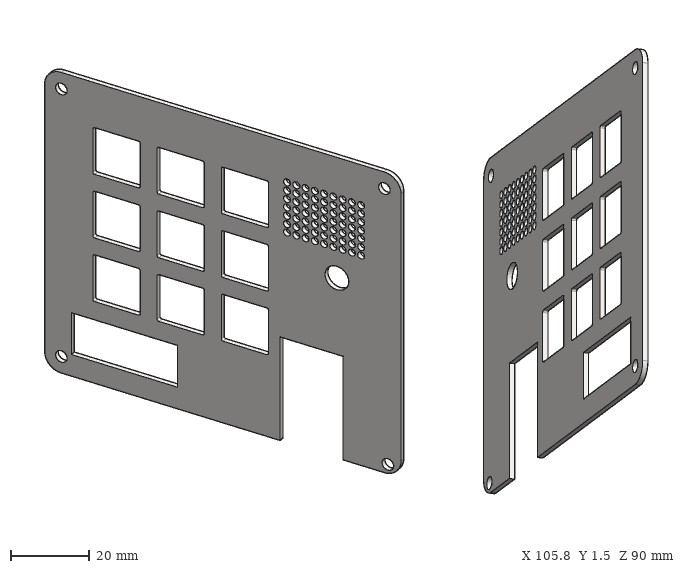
import cadquery as cq

plate_width = 105.8
plate_height = 90.0
plate_thickness = 1.5
corner_radius = 5.0

mount_hole_diameter = 3.4
offset_hole_x = 49.0
offset_hole_z = -42.2

key_count = 3
key_size = 14.0
key_pitch = 19.0
key_corner_radius = 0.5
keypad_center_x = -12.5
keypad_center_z = 5.5

grille_columns = 9
grille_rows = 7
grille_hole_diameter = 2.0
grille_pitch_x = 2.7
grille_span_z = 15.0
grille_pitch_z = grille_span_z / (grille_rows - 1)
grille_center_x = 30.0
grille_center_z = 25.4

knob_hole_diameter = 7.0
knob_hole_x = 33.8
knob_hole_z = 8.9

window_width = 31.4
window_height = 12.5
window_center_x = -29.2
window_center_z = -32.3

notch_width = 18.6
notch_depth = 31.0
notch_center_x = 26.3

half_width = plate_width / 2
half_height = plate_height / 2


def block(width, height, center_x, center_z):
    """Box with the plate's thickness, centred at the given place on the plate."""
    outline = cq.Workplane("XZ").center(center_x, center_z).rect(width, height)
    return outline.extrude(plate_thickness / 2, both=True)


def round_cutters(diameter, centers):
    """Cylinders through the plate at the given (x, z) places."""
    outlines = cq.Workplane("XZ").pushPoints(centers).circle(diameter / 2)
    return outlines.extrude(plate_thickness / 2, both=True)


def grid(columns, rows, pitch_x, pitch_z, center_x, center_z):
    """Places of a regular grid about its centre."""
    return [
        (
            center_x + (column - (columns - 1) / 2) * pitch_x,
            center_z + (row - (rows - 1) / 2) * pitch_z,
        )
        for column in range(columns)
        for row in range(rows)
    ]


result = block(plate_width, plate_height, 0, 0).edges("|Y").fillet(corner_radius)

mount_x = half_width - corner_radius
mount_z = half_height - corner_radius
mount_centers = [
    (-mount_x, mount_z),
    (mount_x, mount_z),
    (-mount_x, -mount_z),
    (offset_hole_x, offset_hole_z),
]
result = result.cut(round_cutters(mount_hole_diameter, mount_centers))

key_centers = grid(key_count, key_count, key_pitch, key_pitch, keypad_center_x, keypad_center_z)
for key_x, key_z in key_centers:
    key_cutter = block(key_size, key_size, key_x, key_z).edges("|Y").fillet(key_corner_radius)
    result = result.cut(key_cutter)

grille_centers = grid(
    grille_columns, grille_rows, grille_pitch_x, grille_pitch_z, grille_center_x, grille_center_z
)
result = result.cut(round_cutters(grille_hole_diameter, grille_centers))

result = result.cut(round_cutters(knob_hole_diameter, [(knob_hole_x, knob_hole_z)]))

result = result.cut(block(window_width, window_height, window_center_x, window_center_z))

notch_center_z = -half_height + notch_depth / 2
result = result.cut(block(notch_width, notch_depth, notch_center_x, notch_center_z))